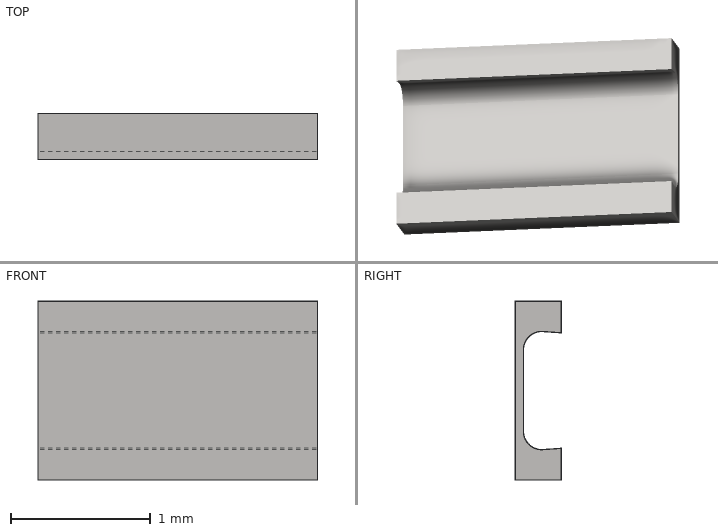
import cadquery as cq

length = 2.0
depth = 0.33
height = 1.28

web = 0.06
flange_at_rim = 0.228
corner_radius = 0.13

taper = 0.01

back = depth / 2
floor = web - back
rim_z = height / 2 - flange_at_rim
corner_top_z = rim_z + taper
corner_y = floor + corner_radius
corner_z = corner_top_z - corner_radius
diagonal = corner_radius * 0.5 ** 0.5


def half_channel(side):
    """Channel space between mid-height and one flange (side = +1 upper, -1 lower)."""
    return (
        cq.Workplane("YZ", origin=(-length / 2, 0, 0))
        .moveTo(floor, 0)
        .lineTo(floor, side * corner_z)
        .threePointArc(
            (corner_y - diagonal, side * (corner_z + diagonal)),
            (corner_y, side * corner_top_z),
        )
        .lineTo(back, side * rim_z)
        .lineTo(back, 0)
        .close()
        .extrude(length)
    )


result = cq.Workplane("XY").box(length, depth, height)
for side in (1, -1):
    result = result.cut(half_channel(side))